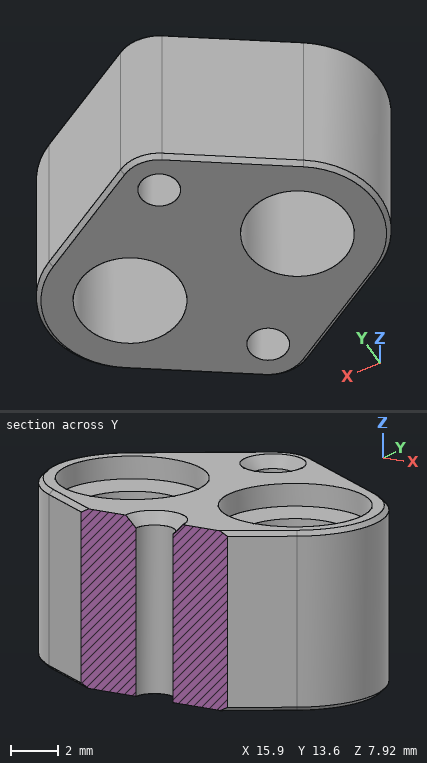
import cadquery as cq
import math

length_x = 15.92
length_y = 13.59
height = 7.92
edge_chamfer = 0.2

bore_offset = 4.0
bore_diameter = 4.8
counterbore_diameter = 6.5
counterbore_depth = 1.0
seat_depth = 0.3

screw_offset = 4.9
screw_diameter = 1.8
countersink_diameter = 2.8
countersink_angle = 90.0

side_radius = length_x / 2 - bore_offset
tip_radius = length_y / 2 - screw_offset


def make_body():
    """Diamond-shaped block with tangent rounded corners and chamfered rims."""
    center_distance = math.hypot(bore_offset, screw_offset)
    center_line_angle = math.atan2(screw_offset, bore_offset)
    normal_angle = math.pi - center_line_angle - math.acos((side_radius - tip_radius) / center_distance)
    normal_x = math.cos(normal_angle)
    normal_y = math.sin(normal_angle)

    side_x = bore_offset + side_radius * normal_x
    side_y = side_radius * normal_y
    tip_x = tip_radius * normal_x
    tip_y = screw_offset + tip_radius * normal_y

    outline = (
        cq.Workplane("XY")
        .moveTo(side_x, -side_y)
        .threePointArc((length_x / 2, 0), (side_x, side_y))
        .lineTo(tip_x, tip_y)
        .threePointArc((0, length_y / 2), (-tip_x, tip_y))
        .lineTo(-side_x, side_y)
        .threePointArc((-length_x / 2, 0), (-side_x, -side_y))
        .lineTo(-tip_x, -tip_y)
        .threePointArc((0, -length_y / 2), (tip_x, -tip_y))
        .close()
    )
    return outline.extrude(height).faces("<Z or >Z").edges().chamfer(edge_chamfer)


def make_bore_cutter():
    """Through bore with a conical seat below a cylindrical counterbore."""
    bore_radius = bore_diameter / 2
    counterbore_radius = counterbore_diameter / 2
    counterbore_floor = height - counterbore_depth
    half_profile = (
        cq.Workplane("XZ")
        .lineTo(bore_radius, 0)
        .lineTo(bore_radius, counterbore_floor - seat_depth)
        .lineTo(counterbore_radius, counterbore_floor)
        .lineTo(counterbore_radius, height)
        .lineTo(0, height)
        .close()
    )
    return half_profile.revolve(360, (0, 0, 0), (0, 1, 0))


def cut_bores(body):
    cutter = make_bore_cutter()
    for side in (-1, 1):
        body = body.cut(cutter.translate((side * bore_offset, 0, 0)))
    return body


def cut_screw_holes(body):
    return (
        body.faces(">Z")
        .workplane(origin=(0, 0, height))
        .pushPoints([(0, -screw_offset), (0, screw_offset)])
        .cskHole(screw_diameter, countersink_diameter, countersink_angle)
    )


result = cut_screw_holes(cut_bores(make_body()))